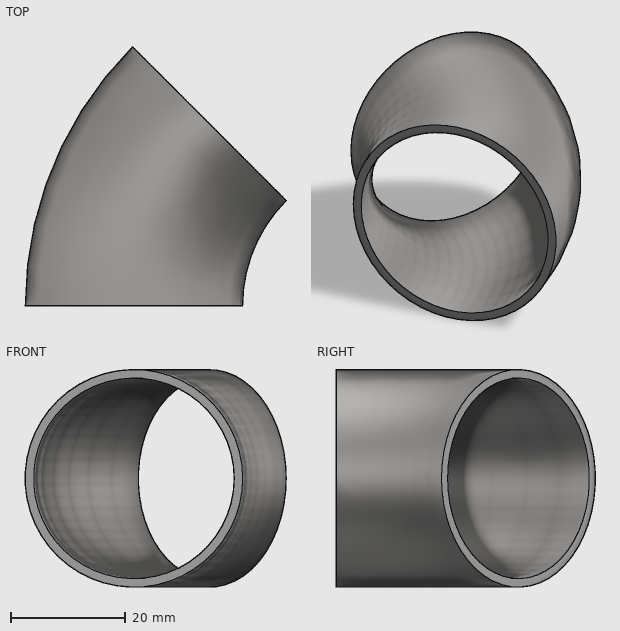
import cadquery as cq

outer_diameter = 38.0
wall_thickness = 1.5
bend_radius = 45.0
bend_angle = 45.0

outer_radius = outer_diameter / 2
inner_radius = outer_radius - wall_thickness


def pipe_elbow():
    """Ring section revolved about an axis parallel to Z at the bend centre."""
    section = cq.Workplane("XZ").circle(outer_radius).circle(inner_radius)
    axis_start = (bend_radius, 0)
    axis_end = (bend_radius, -1)
    return section.revolve(bend_angle, axis_start, axis_end)


result = pipe_elbow()